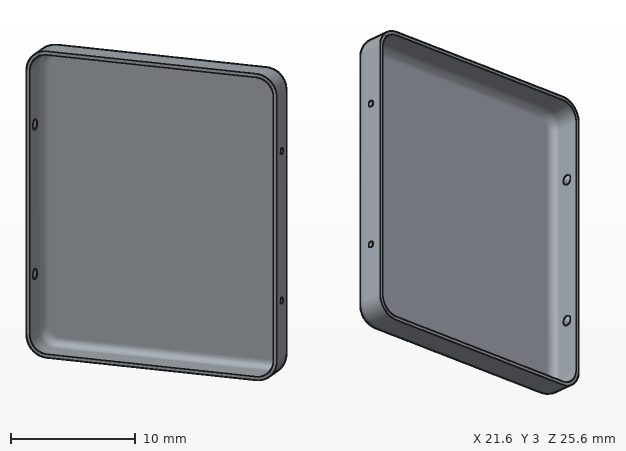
import cadquery as cq

width = 21.6
height = 25.6
depth = 3.0
wall = 0.3
corner_radius = 1.8
floor_edge_radius = 1.0

dimple_spacing = 12.5
dimple_from_rim = 1.1
dimple_depth = 0.18
dimple_sphere_radius = 0.28

rim_y = -depth / 2


def rounded_block(inset):
    """Block with its sides and floor moved inwards by inset, starting at the rim."""
    block_depth = depth - inset
    return (
        cq.Workplane("XY")
        .box(width - 2 * inset, block_depth, height - 2 * inset)
        .translate((0, rim_y + block_depth / 2, 0))
        .edges("|Y")
        .fillet(corner_radius - inset)
        .faces(">Y")
        .edges()
        .fillet(floor_edge_radius - inset)
    )


def dimple_centers():
    """Sphere centres, just outside the side walls, of all four dimples."""
    center_x = width / 2 + dimple_sphere_radius - dimple_depth
    center_y = rim_y + dimple_from_rim
    center_z = dimple_spacing / 2
    return [(i * center_x, center_y, j * center_z) for i in (-1, 1) for j in (-1, 1)]


outer = rounded_block(0)
cavity = rounded_block(wall)
hollows = []

for center in dimple_centers():
    bump = cq.Workplane("YZ").sphere(dimple_sphere_radius + wall).translate(center)
    cavity = cavity.cut(bump)
    hollows.append(cq.Workplane("YZ").sphere(dimple_sphere_radius).translate(center))

result = outer.cut(cavity)
for hollow in hollows:
    result = result.cut(hollow)